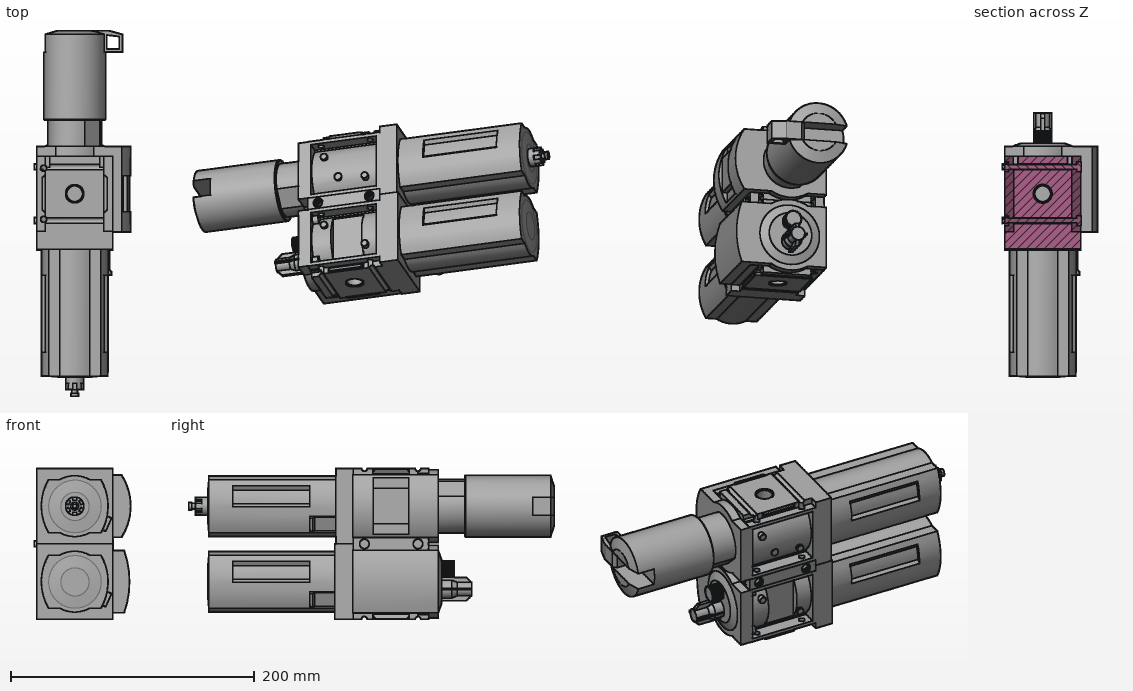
import cadquery as cq
import math


HEIGHT = 62.0
HALF = HEIGHT / 2
SIDE_X = 31.25
BLOCK_BACK = 30.8
UPPER_FRONT = -45.5
LOWER_FRONT = -46.5
HEAD_BACK = 38.8
HEAD_RADIUS = 30.0
HEAD_FLAT = 25.6

RECESS_DEPTH = 5.2
RECESS_X = 24.0
RECESS_FRONT = -31.0
NOTCH_X = 20.4
NOTCH_FRONT = 21.7
NOTCH_DEPTH = 4.0
LIP_REACH = 2.8
LIP_HALF_LENGTH = 15.0
LIP_DROP = 0.5
LIP_HEIGHT = 3.8
LIP_CORNER = 2.0
SCREW_Y = 22.0
GROOVE_DIAMETER = 4.5
LOCATING_HOLE_DIAMETER = 5.0
LOCATING_HOLE_X = -25.5
LOCATING_HOLE_Y = 21.0
PORT_DIAMETER = 15.0
PORT_CORE_DIAMETER = 13.0
PORT_RIM_DEPTH = 1.0
PORT_DEPTH = 12.0

POCKET_HALF_LENGTH = 28.0
POCKET_HALF_HEIGHT = 22.7
POCKET_FLOOR_X = -20.0
BARREL_RADIUS = 29.0
PIN_DIAMETER = 5.5
PIN_END_X = -30.0
PIN_Y = 17.5
PIN_Z = 10.9
STUD_DIAMETER = 6.2
STUD_END_X = -28.8
STUD_Y = 5.7
STUD_Z = -8.2
LABEL_BACK = 11.7
LABEL_FRONT = -14.7
LABEL_HALF_HEIGHT = 18.3
LUG_DIAMETER = 7.6
LUG_LENGTH = 5.0
LUG_X = -24.0
LUG_Z = 18.7

COVER_FRONT = -31.5
COVER_HALF_HEIGHT = HEAD_FLAT
UPPER_COVER_EDGE = 38.5
UPPER_COVER_TOP = 46.05
LOWER_COVER_EDGE = 40.7
LOWER_COVER_TOP = 45.1
GAUGE_HALF = 14.6
GAUGE_FACE_X = 43.2
GAUGE_WINDOW_HALF_HEIGHT = 23.2
GAUGE_FLOOR_X = 38.8

BOWL_END = -149.8
BOWL_SIDE_X = 27.4
BOWL_CORNER_X = 21.5
BOWL_FLAT_Z = 21.8
BOWL_RADIUS = 25.0
BOWL_CAP_RADIUS = 21.6
BOWL_TIP_RADIUS = 11.6
BOWL_TIP_HEIGHT = 0.9
WINDOW_BACK = -66.8
WINDOW_FRONT = -130.0
WINDOW_TOP_Z = 16.6
WINDOW_BOTTOM_Z = -0.4
WINDOW_DEPTH = 3.0
WINDOW_TOP_SLOPE_X = 2.0
WINDOW_TOP_SLOPE_Z = 3.4
WINDOW_BOTTOM_SLOPE_Z = 2.2
LATCH_LENGTH = 12.0
LATCH_THICKNESS = 3.0
LATCH_X = 25.0
LATCH_Z = -14.0
LATCH_TILT = 24.5
LATCH_END = -66.8
LATCH_TIP_LENGTH = 4.0
LATCH_TIP_HEIGHT = 1.6
LATCH_TIP_CHAMFER = 1.4

DRAIN_DIAMETER = 15.0
DRAIN_END = -160.8
DRAIN_SLOTS = 6
DRAIN_SLOT_WIDTH = 3.4
DRAIN_SLOT_START = -155.5
DRAIN_SLOT_RADIUS = 5.0
STEM_DIAMETER = 5.0
FLANGE_DIAMETER = 6.4
FLANGE_START = -163.8
STEM_END = -166.3
STEM_BORE = 3.4
STEM_BORE_DEPTH = 8.0

NECK_RADIUS = 22.2
NECK_FLAT = 20.4
NECK_FLAT_TURN = -45
KNOB_DIAMETER = 51.0
KNOB_FRONT = 60.5
KNOB_BACK = 130.9
KNOB_CHAMFER = 0.7
DOME_RADIUS = 15.9
DOME_BACK = 134.0
LOCK_HEIGHT = 15.0
LOCK_FRONT = 116.3
SLOT_END_X = 11.7
HASP_END_X = 39.3
HASP_FLAT_X = 28.0
HASP_WINDOW_MIN_X = 26.5
HASP_WINDOW_MAX_X = 36.5
HASP_WALL_FRONT = 2.7
HASP_WALL_BACK = 3.8
HASP_WINDOW_FALL = 1.2

LID_RADIUS = 25.3
LID_TOP_RADIUS = 18.0
LID_BACK = 41.5
KNURL_DIAMETER = 13.6
KNURL_BACK = 51.9
KNURL_Z = 10.4
KNURL_RIBS = 24
KNURL_GROOVE_DIAMETER = 1.0
VALVE_Z = -6.1
VALVE_DIAMETER = 15.0
VALVE_SHOULDER = 49.8
VALVE_TAPER_BACK = 54.4
TAP_DIAMETER = 11.3
TAP_BACK = 66.3
WING_SPAN = 19.2
WING_THICKNESS = 3.0
WING_CHAMFER = 4.5
TAP_RIB_THICKNESS = 1.2

SCREW_DIAMETER = 3.24
SCREW_HEAD_DIAMETER = 7.8
SCREW_HEAD_PROJECTION = 0.6
SCREW_TIP_DIAMETER = 5.0
SCREW_TIP_PROJECTION = 2.0
SCREW_SOCKET = 2.5
SEAT_DEPTH = 3.0


def box(x0, x1, y0, y1, z0, z1):
    """Box between two corner positions."""
    size = (x1 - x0, y1 - y0, z1 - z0)
    return cq.Workplane("XY").box(*size, centered=False).translate((x0, y0, z0))


def rod_x(diameter, x0, x1, y, z):
    """Cylinder along X."""
    return cq.Workplane("YZ", origin=(x0, y, z)).circle(diameter / 2).extrude(x1 - x0)


def rod_y(diameter, y0, y1, x=0.0, z=0.0):
    """Cylinder along Y."""
    return cq.Workplane("XZ", origin=(x, y0, z)).circle(diameter / 2).extrude(y0 - y1)


def cone_y(radius0, y0, radius1, y1):
    """Cone about the Y axis, from radius0 at y0 to radius1 at y1."""
    outline = [(0, y0), (radius0, y0), (radius1, y1), (0, y1)]
    return cq.Workplane("XY").polyline(outline).close().revolve(360, (0, 0), (0, 1))


def both_ends(shape):
    """A shape on the +Z end of a unit together with its mirror image on the -Z end."""
    return shape.union(shape.mirror("XY"))



def dovetail_lips():
    """Overhanging lips on both side walls of the +Z end."""
    top = HALF - LIP_DROP
    section = [(-RECESS_X, top), (-RECESS_X - LIP_REACH, top), (-RECESS_X, top - LIP_HEIGHT)]
    lip = cq.Workplane("XZ").polyline(section).close().extrude(LIP_HALF_LENGTH, both=True)
    outer_x = RECESS_X + LIP_REACH
    plan = cq.Workplane("XY").rect(2 * outer_x, 2 * LIP_HALF_LENGTH).extrude(HALF)
    lip = lip.intersect(plan.edges("|Z").chamfer(LIP_CORNER))
    return lip.union(lip.mirror("YZ"))


def end_recesses():
    """Recesses, notches, grooves, holes and port cut into the +Z end."""
    floor = HALF - RECESS_DEPTH
    cuts = cq.Workplane("XY")
    for inner, outer in ((RECESS_X, SIDE_X), (-SIDE_X, -RECESS_X)):
        cuts = cuts.add(box(inner, outer, RECESS_FRONT, BLOCK_BACK, floor, HALF))
    for inner, outer in ((NOTCH_X, RECESS_X), (-RECESS_X, -NOTCH_X)):
        cuts = cuts.add(box(inner, outer, NOTCH_FRONT, BLOCK_BACK, HALF - NOTCH_DEPTH, HALF))
    for side in (1, -1):
        cuts = cuts.add(rod_x(GROOVE_DIAMETER, -RECESS_X, RECESS_X, side * SCREW_Y, HALF))
        hole_start = (LOCATING_HOLE_X, side * LOCATING_HOLE_Y, POCKET_HALF_HEIGHT)
        hole = cq.Workplane("XY", origin=hole_start).circle(LOCATING_HOLE_DIAMETER / 2)
        cuts = cuts.add(hole.extrude(HALF - POCKET_HALF_HEIGHT))
    port = cq.Workplane("XY", origin=(0, 0, HALF))
    cuts = cuts.add(port.circle(PORT_DIAMETER / 2).extrude(-PORT_RIM_DEPTH))
    cuts = cuts.add(port.circle(PORT_CORE_DIAMETER / 2).extrude(-PORT_DEPTH))
    return cuts.combine()


def window_pocket():
    """Pocket in the -X face with a barrel-shaped floor."""
    length = POCKET_HALF_LENGTH
    height = POCKET_HALF_HEIGHT
    pocket = box(-SIDE_X, POCKET_FLOOR_X, -length, length, -height, height)
    return pocket.cut(rod_y(2 * BARREL_RADIUS, -length, length))


def window_pin(diameter, end_x, y, z):
    """Pin standing in the window pocket."""
    return rod_x(diameter, end_x, POCKET_FLOOR_X, y, z)


def cover(edge_x, top_x):
    """Bulged cover on the +X face."""
    profile = (
        cq.Workplane("XZ", origin=(0, HEAD_BACK, 0))
        .moveTo(SIDE_X, -COVER_HALF_HEIGHT)
        .lineTo(edge_x, -COVER_HALF_HEIGHT)
        .threePointArc((top_x, 0), (edge_x, COVER_HALF_HEIGHT))
        .lineTo(SIDE_X, COVER_HALF_HEIGHT)
        .close()
    )
    return profile.extrude(HEAD_BACK - COVER_FRONT)


def head():
    """Round head with two flats behind the block."""
    slab = box(-SIDE_X, SIDE_X, BLOCK_BACK, HEAD_BACK, -HEAD_FLAT, HEAD_FLAT)
    barrel = rod_y(2 * HEAD_RADIUS, BLOCK_BACK, HEAD_BACK)
    return slab.union(barrel)


def bowl_side_x(z):
    """X of the bulged +X side of the bowl at a height z."""
    bulge = BOWL_SIDE_X - BOWL_CORNER_X
    radius = (BOWL_FLAT_Z**2 + bulge**2) / (2 * bulge)
    return BOWL_SIDE_X - radius + math.sqrt(radius**2 - z**2)


def bowl_window():
    """Sight window in the +X side of the bowl, with a curved floor between sloped walls."""
    floor_top_z = WINDOW_TOP_Z - WINDOW_TOP_SLOPE_Z
    floor_bottom_z = WINDOW_BOTTOM_Z + WINDOW_BOTTOM_SLOPE_Z
    floor_middle_z = (floor_top_z + floor_bottom_z) / 2
    return (
        cq.Workplane("XZ", origin=(0, WINDOW_BACK, 0))
        .moveTo(bowl_side_x(WINDOW_TOP_Z), WINDOW_TOP_Z)
        .lineTo(bowl_side_x(WINDOW_TOP_Z) - WINDOW_TOP_SLOPE_X, floor_top_z)
        .threePointArc((bowl_side_x(floor_middle_z) - WINDOW_DEPTH, floor_middle_z),
                       (bowl_side_x(floor_bottom_z) - WINDOW_DEPTH, floor_bottom_z))
        .lineTo(BOWL_SIDE_X, WINDOW_BOTTOM_Z)
        .lineTo(BOWL_SIDE_X, WINDOW_TOP_Z)
        .close()
        .extrude(WINDOW_BACK - WINDOW_FRONT)
    )


def bowl_latch(start_y):
    """Latch strip on the +X side of the bowl with a raised tip."""
    half = LATCH_LENGTH / 2
    strip = box(-LATCH_THICKNESS / 2, LATCH_THICKNESS / 2, LATCH_END, start_y, -half, half)
    tip_x = LATCH_THICKNESS / 2 + LATCH_TIP_HEIGHT
    tip = box(0, tip_x, LATCH_END, LATCH_END + LATCH_TIP_LENGTH, -half, half)
    tip = tip.faces(">X").edges(">Y").chamfer(LATCH_TIP_CHAMFER)
    latch = strip.union(tip).rotate((0, 0, 0), (0, 1, 0), LATCH_TILT)
    return latch.translate((LATCH_X, 0, LATCH_Z))


def bowl(start_y):
    """Bowl with bulged sides, sight windows, latch and a flat conical end."""
    length = start_y - BOWL_END
    shell = (
        cq.Workplane("XZ", origin=(0, start_y, 0))
        .moveTo(-BOWL_CORNER_X, -BOWL_FLAT_Z)
        .lineTo(BOWL_CORNER_X, -BOWL_FLAT_Z)
        .threePointArc((BOWL_SIDE_X, 0), (BOWL_CORNER_X, BOWL_FLAT_Z))
        .lineTo(-BOWL_CORNER_X, BOWL_FLAT_Z)
        .threePointArc((-BOWL_SIDE_X, 0), (-BOWL_CORNER_X, -BOWL_FLAT_Z))
        .close()
        .extrude(length)
    )
    shell = shell.union(rod_y(2 * BOWL_RADIUS, BOWL_END, start_y)).union(bowl_latch(start_y))
    window = bowl_window()
    shell = shell.cut(window).cut(window.mirror("YZ"))
    return shell.union(cone_y(BOWL_CAP_RADIUS, BOWL_END, BOWL_TIP_RADIUS, BOWL_END - BOWL_TIP_HEIGHT))


def base_unit(front_y):
    """Features that both units share."""
    block = box(-SIDE_X, SIDE_X, front_y, BLOCK_BACK, -HALF, HALF)
    unit = block.cut(both_ends(end_recesses())).cut(window_pocket())
    unit = unit.union(both_ends(dovetail_lips())).union(head()).union(bowl(front_y))
    for side in (1, -1):
        unit = unit.union(window_pin(PIN_DIAMETER, PIN_END_X, side * PIN_Y, side * PIN_Z))
    return unit



def gauge_window():
    """Window in the upper cover, with a raised gauge face in its middle."""
    half = GAUGE_HALF
    height = GAUGE_WINDOW_HALF_HEIGHT
    window = box(GAUGE_FLOOR_X, UPPER_COVER_TOP, -half, half, -height, height)
    gauge = box(GAUGE_FLOOR_X, GAUGE_FACE_X, -half, half, -half, half)
    return window.cut(gauge)


def neck():
    """Round neck with two opposite slanted flats."""
    flats = box(-NECK_FLAT, NECK_FLAT, HEAD_BACK, KNOB_FRONT, -NECK_RADIUS, NECK_RADIUS)
    flats = flats.rotate((0, 0, 0), (0, 1, 0), NECK_FLAT_TURN)
    return rod_y(2 * NECK_RADIUS, HEAD_BACK, KNOB_FRONT).intersect(flats)


def locking_slide():
    """Slide that fills the +X end of the knob slot and ends in a hasp."""
    fall = DOME_BACK - KNOB_BACK
    half = LOCK_HEIGHT / 2
    slide = (
        cq.Workplane("XY", origin=(0, 0, -half))
        .moveTo(SLOT_END_X, LOCK_FRONT)
        .lineTo(HASP_END_X, LOCK_FRONT)
        .lineTo(HASP_END_X, KNOB_BACK)
        .lineTo(HASP_FLAT_X, DOME_BACK)
        .lineTo(SLOT_END_X + fall, DOME_BACK)
        .lineTo(SLOT_END_X, KNOB_BACK)
        .close()
        .extrude(LOCK_HEIGHT)
    )
    window_front = LOCK_FRONT + HASP_WALL_FRONT
    window_back = DOME_BACK - HASP_WALL_BACK
    window = (
        cq.Workplane("XY", origin=(0, 0, -half))
        .moveTo(HASP_WINDOW_MIN_X, window_front)
        .lineTo(HASP_WINDOW_MAX_X, window_front)
        .lineTo(HASP_WINDOW_MAX_X, window_back - HASP_WINDOW_FALL)
        .lineTo(HASP_WINDOW_MIN_X, window_back)
        .close()
        .extrude(LOCK_HEIGHT)
    )
    return slide.cut(window)


def knob():
    """Regulator knob with a cross slot and the locking slide in it."""
    radius = KNOB_DIAMETER / 2
    body = rod_y(KNOB_DIAMETER, KNOB_FRONT, KNOB_BACK).faces("<Y").chamfer(KNOB_CHAMFER)
    body = body.union(cone_y(radius, KNOB_BACK, DOME_RADIUS, DOME_BACK))
    slot = box(-radius, radius, LOCK_FRONT, DOME_BACK, -LOCK_HEIGHT / 2, LOCK_HEIGHT / 2)
    return body.cut(slot).union(locking_slide())


def drain():
    """Drain valve with a slotted collar, a flanged stem and a bore."""
    collar = rod_y(DRAIN_DIAMETER, DRAIN_END, BOWL_END)
    slot = box(-DRAIN_SLOT_WIDTH / 2, DRAIN_SLOT_WIDTH / 2, DRAIN_END, DRAIN_SLOT_START,
               DRAIN_SLOT_RADIUS, DRAIN_DIAMETER)
    for index in range(DRAIN_SLOTS):
        collar = collar.cut(slot.rotate((0, 0, 0), (0, 1, 0), index * 360 / DRAIN_SLOTS))
    stem = rod_y(STEM_DIAMETER, FLANGE_START, DRAIN_END)
    flange = rod_y(FLANGE_DIAMETER, STEM_END, FLANGE_START)
    bore = rod_y(STEM_BORE, STEM_END, STEM_END + STEM_BORE_DEPTH)
    return collar.union(stem).union(flange).cut(bore)



def knurled_knob():
    """Small knob with grooves along its side."""
    radius = KNURL_DIAMETER / 2
    body = rod_y(KNURL_DIAMETER, HEAD_BACK, KNURL_BACK)
    for index in range(KNURL_RIBS):
        angle = 2 * math.pi * index / KNURL_RIBS
        body = body.cut(rod_y(KNURL_GROOVE_DIAMETER, LID_BACK, KNURL_BACK,
                              radius * math.cos(angle), radius * math.sin(angle)))
    return body.translate((0, 0, KNURL_Z))


def winged_tap():
    """Valve with a stepped barrel, a chamfered wing and a cross rib."""
    half_wing = WING_THICKNESS / 2
    half_span = WING_SPAN / 2
    half_rib = TAP_RIB_THICKNESS / 2
    wing = box(-half_wing, half_wing, HEAD_BACK, TAP_BACK, -half_span, half_span)
    wing = wing.faces(">Y").edges("|X").chamfer(WING_CHAMFER)
    rib = box(-VALVE_DIAMETER / 2, VALVE_DIAMETER / 2, HEAD_BACK, TAP_BACK, -half_rib, half_rib)
    barrel = rod_y(VALVE_DIAMETER, HEAD_BACK, VALVE_SHOULDER)
    barrel = barrel.union(rod_y(TAP_DIAMETER, HEAD_BACK, TAP_BACK))
    taper = cone_y(VALVE_DIAMETER / 2, VALVE_SHOULDER, TAP_DIAMETER / 2, VALVE_TAPER_BACK)
    barrel = barrel.union(taper)
    return barrel.union(wing).union(rib).translate((0, 0, VALVE_Z))


def label_flat():
    """Flat cut into the round floor of the window pocket."""
    flat_x = -math.sqrt(BARREL_RADIUS**2 - LABEL_HALF_HEIGHT**2)
    return box(-SIDE_X, flat_x, LABEL_FRONT, LABEL_BACK, -LABEL_HALF_HEIGHT, LABEL_HALF_HEIGHT)


upper_unit = base_unit(UPPER_FRONT)
upper_unit = upper_unit.union(cover(UPPER_COVER_EDGE, UPPER_COVER_TOP).cut(gauge_window()))
upper_unit = upper_unit.union(window_pin(STUD_DIAMETER, STUD_END_X, STUD_Y, STUD_Z))
upper_unit = upper_unit.union(neck()).union(knob()).union(drain())
upper_unit = upper_unit.translate((0, 0, HALF))

lower_unit = base_unit(LOWER_FRONT).cut(label_flat())
lower_unit = lower_unit.union(cover(LOWER_COVER_EDGE, LOWER_COVER_TOP))
for lug_side in (1, -1):
    lug_end = POCKET_HALF_LENGTH
    lug = rod_y(LUG_DIAMETER, lug_end - LUG_LENGTH, lug_end, LUG_X, lug_side * LUG_Z)
    lower_unit = lower_unit.union(lug)
lower_unit = lower_unit.union(cone_y(LID_RADIUS, HEAD_BACK, LID_TOP_RADIUS, LID_BACK))
lower_unit = lower_unit.union(knurled_knob()).union(winged_tap())
lower_unit = lower_unit.translate((0, 0, -HALF))



def tie_screw(y):
    """Screw along X with a head at +X and a socketed tip at -X."""
    tip_x = -SIDE_X - SCREW_TIP_PROJECTION
    head_x = SIDE_X + SCREW_HEAD_PROJECTION
    shank = rod_x(SCREW_DIAMETER, tip_x, head_x, y, 0)
    screw_head = rod_x(SCREW_HEAD_DIAMETER, SIDE_X - SEAT_DEPTH, head_x, y, 0)
    tip = rod_x(SCREW_TIP_DIAMETER, tip_x, -SIDE_X + SEAT_DEPTH, y, 0)
    socket = rod_x(SCREW_SOCKET, tip_x, -SIDE_X, y, 0)
    return shank.union(screw_head).union(tip).cut(socket)


def clamp_body():
    """Two jaws in the facing recesses, joined by a sleeve around each screw."""
    height = RECESS_DEPTH
    jaws = box(-SIDE_X, -RECESS_X, RECESS_FRONT, BLOCK_BACK, -height, height)
    jaws = jaws.union(jaws.mirror("YZ"))
    jaws = jaws.cut(both_ends(dovetail_lips().translate((0, 0, -HALF))))
    for side in (1, -1):
        y = side * SCREW_Y
        jaws = jaws.union(rod_x(GROOVE_DIAMETER, -RECESS_X, RECESS_X, y, 0))
        jaws = jaws.cut(rod_x(SCREW_HEAD_DIAMETER, -SIDE_X, -SIDE_X + SEAT_DEPTH, y, 0))
        jaws = jaws.cut(rod_x(SCREW_DIAMETER, -SIDE_X, SIDE_X, y, 0))
        jaws = jaws.cut(rod_x(SCREW_HEAD_DIAMETER, SIDE_X - SEAT_DEPTH, SIDE_X, y, 0))
    return jaws


clamp = clamp_body()
screws = [tie_screw(side * SCREW_Y) for side in (1, -1)]

result = cq.Compound.makeCompound([
    upper_unit.val(),
    lower_unit.val(),
    clamp.val(),
    *[screw.val() for screw in screws],
])